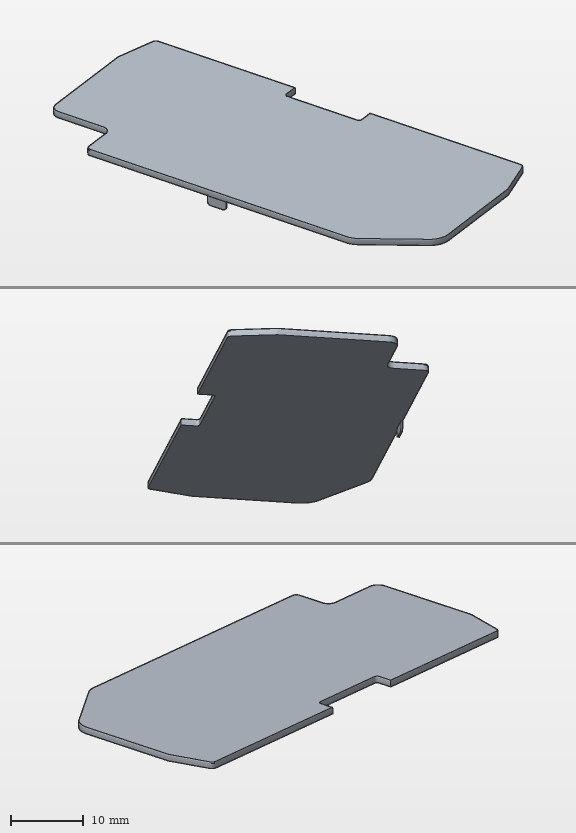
import cadquery as cq

length = 64.4
width = 29.6
height = 2.4

plate_thickness = 0.95
parting_depth = 0.5
bevel_height = 0.2
bevel_angle = 20.0
draft_angle = 3.0
shoulder_x = 30.4
shoulder_y = 8.25
shoulder_radius = 0.8
notch_left = -7.3
notch_right = 4.95
notch_depth = 2.5
notch_radius = 0.4
step_x = -22.15
step_y = -8.75
step_outer_radius = 1.55
step_inner_radius = 1.15
step_lower_radius = 0.8
slope_x = 21.75
slope_y = -8.2
slope_radius = 3.2

tab_center_x = -0.5
tab_width = 3.1
tab_thickness = 0.25
tab_radius = 0.6

half_length = length / 2
half_width = width / 2
tab_height = height - plate_thickness


def round_corner(body, x, y, radius):
    """Round the upright edge that stands at (x, y)."""
    reach = 0.05
    corner = cq.selectors.BoxSelector(
        (x - reach, y - reach, -height), (x + reach, y + reach, height), boundingbox=False
    )
    return body.edges("|Z").edges(corner).fillet(radius)


def make_section():
    """Widest section of the plate, a flat face at Z = 0 with rounded corners."""
    notch_floor = half_width - notch_depth
    corners = [
        (-half_length, step_y, step_outer_radius),
        (step_x, step_y, step_inner_radius),
        (step_x, -half_width, step_lower_radius),
        (slope_x, -half_width, slope_radius),
        (half_length, slope_y, slope_radius),
        (half_length, shoulder_y, 0),
        (shoulder_x, half_width, shoulder_radius),
        (notch_right, half_width, 0),
        (notch_right, notch_floor, notch_radius),
        (notch_left, notch_floor, notch_radius),
        (notch_left, half_width, 0),
        (-shoulder_x, half_width, shoulder_radius),
        (-half_length, shoulder_y, 0),
    ]
    outline = [(x, y) for x, y, radius in corners]
    blank = cq.Workplane("XY").polyline(outline).close().extrude(-plate_thickness)
    for x, y, radius in corners:
        if radius > 0:
            blank = round_corner(blank, x, y, radius)
    return blank.faces(">Z").val()


def make_layer(section, rise, taper):
    """Layer that narrows by the taper angle as it rises (or drops, if negative) from a flat section."""
    return cq.Workplane(obj=cq.Solid.extrudeLinear(section, cq.Vector(0, 0, rise), taper))


def make_plate():
    """Plate whose walls taper both ways from its widest section, with a bevel round the top face."""
    section = make_section()
    upper_half = make_layer(section, parting_depth - bevel_height, draft_angle)
    lower_half = make_layer(section, parting_depth - plate_thickness, draft_angle)
    bevel = make_layer(upper_half.faces(">Z").val(), bevel_height, bevel_angle)
    return upper_half.union(lower_half).union(bevel).translate((0, 0, -parting_depth)).solids()


def make_tab():
    """Thin tab hanging below the plate, flush with its -Y edge."""
    return (
        cq.Workplane("XY")
        .box(tab_width, tab_thickness, tab_height, centered=(True, False, False))
        .translate((tab_center_x, -half_width, -height))
        .edges("|Y and <Z")
        .fillet(tab_radius)
    )


plate = make_plate()
tab = make_tab()
result = cq.Compound.makeCompound([plate.val(), tab.val()])